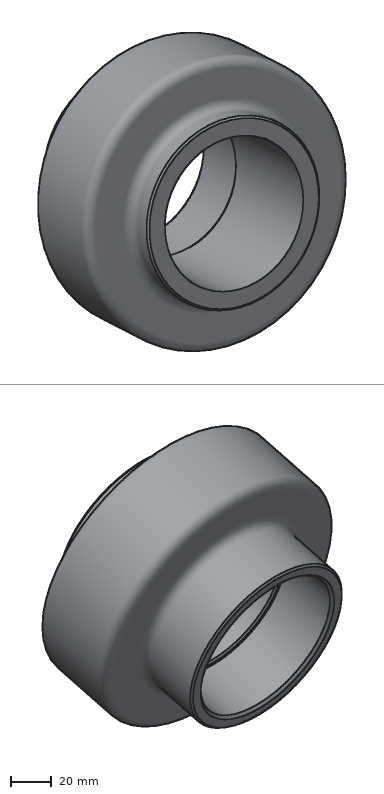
import cadquery as cq

length = 100.0
flange_diameter = 152.0
hub_diameter = 100.0
flange_start = 35.0
flange_width = length / 2
blend_radius = 5.0
hub_chamfer = 1.0

bore_diameter = 80.0
socket_diameter = 85.0
socket_depth = flange_start
mouth_chamfer = 1.5
step_chamfer = 1.0


def make_body():
    """Hub with chamfered ends and a rounded flange blended into it."""
    hub_radius = hub_diameter / 2
    flange_radius = flange_diameter / 2
    flange_end = flange_start + flange_width
    return (
        cq.Workplane("XY")
        .lineTo(0, hub_radius - hub_chamfer)
        .lineTo(hub_chamfer, hub_radius)
        .lineTo(flange_start - blend_radius, hub_radius)
        .tangentArcPoint((blend_radius, blend_radius))
        .lineTo(flange_start, flange_radius - blend_radius)
        .tangentArcPoint((blend_radius, blend_radius))
        .lineTo(flange_end - blend_radius, flange_radius)
        .tangentArcPoint((blend_radius, -blend_radius))
        .lineTo(flange_end, hub_radius + blend_radius)
        .tangentArcPoint((blend_radius, -blend_radius))
        .lineTo(length - hub_chamfer, hub_radius)
        .lineTo(length, hub_radius - hub_chamfer)
        .lineTo(length, 0)
        .close()
        .revolve(360, (0, 0, 0), (1, 0, 0))
    )


def make_bore():
    """Through bore and socket, with chamfers at the mouth and the step."""
    bore_radius = bore_diameter / 2
    socket_radius = socket_diameter / 2
    return (
        cq.Workplane("XY")
        .lineTo(0, socket_radius + mouth_chamfer)
        .lineTo(mouth_chamfer, socket_radius)
        .lineTo(socket_depth, socket_radius)
        .lineTo(socket_depth, bore_radius + step_chamfer)
        .lineTo(socket_depth + step_chamfer, bore_radius)
        .lineTo(length, bore_radius)
        .lineTo(length, 0)
        .close()
        .revolve(360, (0, 0, 0), (1, 0, 0))
    )


result = make_body().cut(make_bore())